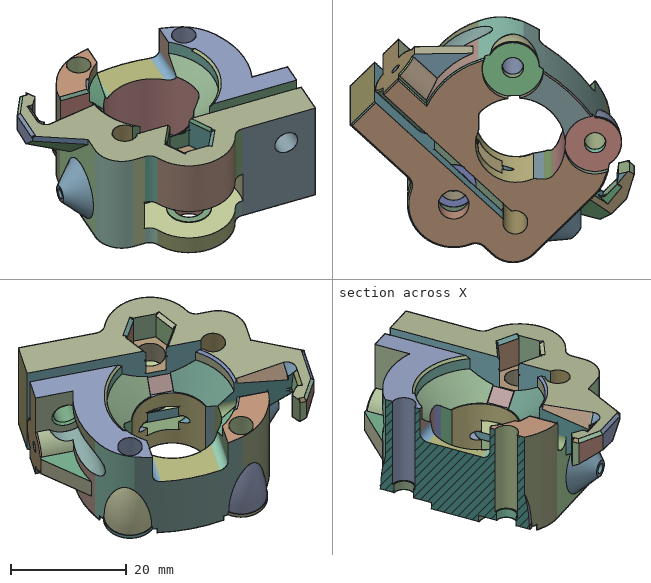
import cadquery as cq
import math


BODY_HEIGHT = 20.0
FRONT_Y = -16.4
BACK_Y = 23.0
RING_LEFT_X = -13.48
RING_BACK_Y = 17.1
RIGHT_X = 17.5
FRONT_CORNER_RADIUS = 5.05
BASE_CHAMFER = 0.25
OVERCUT = 1.0

LUG_X = 15.5
LUG_RADIUS = 8.0
LUG_BLEND_RADIUS = 2.0

SLOT_X = 10.4
SLOT_WIDTH = 2.04
SLOT_RELIEF_RADIUS = 2.15
CLAMP_BLOCK_X = 5.5
CLAMP_HOLE_Y = 17.5
CLAMP_HOLE_Z = 14.0
CLAMP_HOLE_RADIUS = 2.15
CLAMP_HOLE_CHAMFER = 0.4
SPOTFACE_RADIUS = 4.2
SPOTFACE_END_RADIUS = 3.35
SPOTFACE_END_X = -9.0

BORE_RADIUS = 8.6
BORE_X = 0.1
BORE_STEP_BLEND_RADIUS = 2.0
BORE_STEP_RADIUS = 7.0
BORE_STEP_START_X = 0.6
BORE_STEP_END_X = 2.45
CONE_X = 0.25
CONE_BOTTOM_Z = 13.05
RIM_RADIUS = 11.25
CONE_TOP_Z = 17.5
RIM_CHAMFER = 0.45
RIM_CHAMFER_HALF_WIDTH = 5.45
CONE_FLAT_HALF_WIDTH = 2.05

FILAMENT_X = 6.24
FILAMENT_Z = 6.5
FILAMENT_HOLE_RADIUS = 0.9
INLET_BASE_RADIUS = 5.5
INLET_TIP_RADIUS = 1.5
INLET_LENGTH = 3.9
OUTLET_RADIUS = 4.64
OUTLET_WIDENING = 0.6
OUTLET_END_Y = 10.05
OUTLET_END_FILLET = 2.75
OUTLET_RIM_CHAMFER = 0.25
GUSSET_HEIGHT = 3.75
GUSSET_BACK_X = 1.5
GUSSET_RUN = 7.5

BOLT_HOLE_RADIUS = 2.63
NUT_RADIUS = 4.15
NUT_FLAT_DISTANCE = 3.75
NUT_DEPTH = 6.0
NUT_OUTER_BEVEL = 0.7
NUT_SLOT_SIDE_BEVEL = 0.35
NUT_BEVEL_DEPTH = 0.6
POCKET_RADIUS = 9.5
POCKET_BOTTOM_Z = 3.6
POCKET_TOP_Z = 9.6
BEARING_SEAT_RADIUS = 3.9
BEARING_SEAT_HEIGHT = 0.15

SCREW_X = -9.41
SCREW_Y = 9.92
SCREW_POSITIONS = (-SCREW_Y, SCREW_Y)
SCREW_HOLE_RADIUS = 2.1
SCREW_TIP_RADIUS = 1.85
SCREW_TIP_LENGTH = 3.0
DOME_RADIUS = 4.59
DOME_BOTTOM_Z = 1.26
DOME_SHOULDER_Z = 2.0
DOME_SHOULDER_STEP = 0.1
DOME_ARC_RADIUS = 22.0
DOME_TOP_Z = 14.0
DOME_RECESS_RADIUS = 5.3

SIDE_SLOT_HALF_WIDTH = 6.73
SIDE_SLOT_FLOOR_Z = 13.55
SIDE_SLOT_FILLET = 1.5

CHANNEL_RADIUS = 1.6
CHANNEL_X = -0.85
CHANNEL_BOTTOM_Z = 13.36
CHANNEL_CHAMFER = 0.5

HOOK_FRONT_Y = -24.85
HOOK_INNER_X = CHANNEL_X + CHANNEL_RADIUS
HOOK_INNER_Y = -21.5
HOOK_TIP_X = -6.3
HOOK_SIDE_ROOT_X = 9.38
HOOK_SIDE_FRONT_X = 4.72
HOOK_SIDE_DEPTH = 1.13
HOOK_ROOT_Z = 11.25
HOOK_FRONT_Z = 16.05
HOOK_UNDERSIDE_TILT = 3.7
HOOK_TIP_BOTTOM_Z = 14.37
HOOK_RELIEF_Z = 15.0
HOOK_RELIEF_X = -3.2
HOOK_CORNER_RADIUS = 0.9
HOOK_CHAMFER = 0.55
HOOK_LIP_CHAMFER = 1.0
HOOK_LIP_DRAFT = 0.4
HOOK_LIP_DRAFT_DEPTH = 4.4
THROAT_BEVEL_START = (1.33, -11.7)
THROAT_BEVEL_END = (2.96, -20.6)
THROAT_CONE_RADIUS = 1.75


def plate(bottom_z, top_z):
    """Workplane at bottom_z together with the thickness up to top_z."""
    return cq.Workplane("XY").workplane(offset=bottom_z), top_z - bottom_z


def disc(x, y, radius, bottom_z, top_z):
    """Upright cylinder between two heights."""
    plane, height = plate(bottom_z, top_z)
    return plane.center(x, y).circle(radius).extrude(height)


def box(x0, x1, y0, y1, z0, z1):
    """Box between two corners."""
    return cq.Workplane("XY").box(x1 - x0, y1 - y0, z1 - z0, centered=False).translate((x0, y0, z0))


def top_bevel(start, end, width, depth=None):
    """Cutter for a sloped edge on the top face, to the left of the line start-end.

    The slope starts `width` inside that line and drops `depth` on it.
    """
    depth = depth or width
    dx = end[0] - start[0]
    dy = end[1] - start[1]
    plane = cq.Plane(
        origin=(start[0], start[1], BODY_HEIGHT), xDir=(-dy, dx, 0), normal=(dx, dy, 0)
    )
    profile = [(-width, 0), (0, -depth), (OVERCUT, -depth), (OVERCUT, OVERCUT), (-width, OVERCUT)]
    return cq.Workplane(plane).polyline(profile).close().extrude(math.hypot(dx, dy))


def body():
    """Ring, lug and clamp block in one outline, chamfered at the base."""
    blend_dx = RIGHT_X + LUG_BLEND_RADIUS - LUG_X
    blend_reach = LUG_RADIUS + LUG_BLEND_RADIUS
    blend_y = math.sqrt(blend_reach ** 2 - blend_dx ** 2)
    tangent_x = LUG_X + blend_dx * LUG_RADIUS / blend_reach
    tangent_y = blend_y * LUG_RADIUS / blend_reach
    left_end = (-11.93, 9.67)
    left_mid = (-9.65, 13.3)
    shoulder = (-6.6, 15.4)
    front_start_x = -2.56
    front_mid = (-4.7, -16.15)
    ring_end_y = 16.3
    corner_x = RIGHT_X - FRONT_CORNER_RADIUS
    corner_y = FRONT_Y + FRONT_CORNER_RADIUS
    diagonal = FRONT_CORNER_RADIUS * math.sqrt(0.5)
    outline = (
        cq.Workplane("XY")
        .moveTo(front_start_x, FRONT_Y)
        .lineTo(corner_x, FRONT_Y)
        .threePointArc((corner_x + diagonal, corner_y - diagonal), (RIGHT_X, corner_y))
        .lineTo(RIGHT_X, -blend_y)
        .radiusArc((tangent_x, -tangent_y), LUG_BLEND_RADIUS)
        .threePointArc((LUG_X + LUG_RADIUS, 0), (tangent_x, tangent_y))
        .radiusArc((RIGHT_X, blend_y), LUG_BLEND_RADIUS)
        .lineTo(RIGHT_X, BACK_Y)
        .lineTo(CLAMP_BLOCK_X, BACK_Y)
        .lineTo(CLAMP_BLOCK_X, ring_end_y)
        .threePointArc((0, RING_BACK_Y), shoulder)
        .threePointArc(left_mid, left_end)
        .threePointArc((RING_LEFT_X, 0), (left_end[0], -left_end[1]))
        .threePointArc((left_mid[0], -left_mid[1]), (shoulder[0], -shoulder[1]))
        .threePointArc(front_mid, (front_start_x, FRONT_Y))
        .close()
    )
    return outline.extrude(BODY_HEIGHT).faces("<Z").chamfer(BASE_CHAMFER)


def gusset():
    """Triangular web between the ring and the outlet boss."""
    plane, height = plate(FILAMENT_Z - GUSSET_HEIGHT / 2, FILAMENT_Z + GUSSET_HEIGHT / 2)
    outline = [
        (GUSSET_BACK_X, BACK_Y),
        (CLAMP_BLOCK_X, BACK_Y),
        (CLAMP_BLOCK_X, BACK_Y - GUSSET_RUN),
        (GUSSET_BACK_X - GUSSET_RUN, BACK_Y - GUSSET_RUN),
    ]
    return plane.polyline(outline).close().extrude(height)


def outlet_boss():
    """Boss around the filament outlet; it bridges the clamp slot and ends in a rounded nose."""
    plane = cq.Plane(
        origin=(FILAMENT_X + OUTLET_WIDENING / 2, BACK_Y, FILAMENT_Z), xDir=(1, 0, 0), normal=(0, -1, 0)
    )
    boss = cq.Workplane(plane).slot2D(2 * OUTLET_RADIUS + OUTLET_WIDENING, 2 * OUTLET_RADIUS)
    boss = boss.extrude(BACK_Y - OUTLET_END_Y)
    boss = boss.faces("<Y").edges().fillet(OUTLET_END_FILLET)
    return boss.faces(">Y").edges().chamfer(OUTLET_RIM_CHAMFER)


def inlet_cone():
    """Conical filament inlet on the front face."""
    profile = [(0, OVERCUT), (INLET_BASE_RADIUS, OVERCUT), (INLET_BASE_RADIUS, 0),
               (INLET_TIP_RADIUS, -INLET_LENGTH), (0, -INLET_LENGTH)]
    cone = cq.Workplane("XY").polyline(profile).close().revolve(360, (0, 0), (0, 1))
    return cone.translate((FILAMENT_X, FRONT_Y, FILAMENT_Z))


def dome(y):
    """Tapered dome over a screw hole."""
    shoulder_radius = DOME_RADIUS - DOME_SHOULDER_STEP
    rise = DOME_TOP_Z - DOME_SHOULDER_Z
    top_radius = shoulder_radius - DOME_ARC_RADIUS + math.sqrt(DOME_ARC_RADIUS ** 2 - rise ** 2)
    solid = (
        cq.Workplane("XZ")
        .moveTo(0, DOME_BOTTOM_Z)
        .lineTo(DOME_RADIUS, DOME_BOTTOM_Z)
        .lineTo(DOME_RADIUS, DOME_SHOULDER_Z)
        .lineTo(shoulder_radius, DOME_SHOULDER_Z)
        .radiusArc((top_radius, DOME_TOP_Z), -DOME_ARC_RADIUS)
        .lineTo(0, DOME_TOP_Z)
        .close()
        .revolve(360, (0, 0), (0, 1))
    )
    return solid.translate((SCREW_X, y, 0))


def gear_bore():
    """Stepped through bore opening into a cone and a chamfered rim."""
    start_y = math.sqrt(BORE_RADIUS ** 2 - (BORE_STEP_START_X - BORE_X) ** 2)
    end_y = math.sqrt(BORE_STEP_RADIUS ** 2 - BORE_STEP_END_X ** 2)
    bore = (
        cq.Workplane("XY")
        .moveTo(BORE_STEP_START_X, start_y)
        .threePointArc((BORE_X - BORE_RADIUS, 0), (BORE_STEP_START_X, -start_y))
        .lineTo(BORE_STEP_END_X, -end_y)
        .threePointArc((BORE_STEP_RADIUS, 0), (BORE_STEP_END_X, end_y))
        .close()
        .extrude(BODY_HEIGHT)
    )
    for corner_y in (-start_y, start_y):
        corner = cq.selectors.NearestToPointSelector((BORE_STEP_START_X, corner_y, BODY_HEIGHT / 2))
        bore = bore.edges("|Z").edges(corner).fillet(BORE_STEP_BLEND_RADIUS)
    cone_profile = [(0, CONE_BOTTOM_Z), (BORE_STEP_RADIUS, CONE_BOTTOM_Z), (RIM_RADIUS, CONE_TOP_Z),
                    (RIM_RADIUS, BODY_HEIGHT), (0, BODY_HEIGHT)]
    cone = cq.Workplane("XZ").polyline(cone_profile).close().revolve(360, (0, 0), (0, 1))
    rim_profile = [(0, BODY_HEIGHT - RIM_CHAMFER), (RIM_RADIUS, BODY_HEIGHT - RIM_CHAMFER),
                   (RIM_RADIUS + RIM_CHAMFER, BODY_HEIGHT), (0, BODY_HEIGHT)]
    rim = cq.Workplane("XZ").polyline(rim_profile).close().revolve(360, (0, 0), (0, 1))
    cone = cone.translate((CONE_X, 0, 0))
    rim = rim.translate((CONE_X, 0, 0))
    rim = rim.intersect(box(-RIM_CHAMFER_HALF_WIDTH, SLOT_X, -BODY_HEIGHT, BODY_HEIGHT, 0, BODY_HEIGHT))
    flat_profile = [(0, CONE_BOTTOM_Z), (BORE_STEP_RADIUS, CONE_BOTTOM_Z),
                    (RIM_RADIUS, CONE_TOP_Z), (0, CONE_TOP_Z)]
    flat = cq.Workplane("XZ").polyline(flat_profile).close().extrude(CONE_FLAT_HALF_WIDTH, both=True)
    flat = flat.translate((CONE_X, 0, 0))
    return bore.union(cone).union(rim).union(flat)


def clamp_slot():
    """Slot splitting the clamp block from the arm, ending in a relief hole."""
    half = SLOT_WIDTH / 2
    slot = box(SLOT_X - half, SLOT_X + half, -SCREW_Y, BACK_Y + OVERCUT, 0, BODY_HEIGHT)
    return slot.union(disc(SLOT_X, -SCREW_Y, SLOT_RELIEF_RADIUS, 0, BODY_HEIGHT))


def clamp_hole():
    """Clamp screw hole with its chamfer and the tapered spotface clearing its head."""
    axis = cq.Vector(1, 0, 0)
    face = cq.Vector(CLAMP_BLOCK_X, CLAMP_HOLE_Y, CLAMP_HOLE_Z)
    spotface_end = cq.Vector(SPOTFACE_END_X, CLAMP_HOLE_Y, CLAMP_HOLE_Z)
    spotface_length = CLAMP_BLOCK_X - SPOTFACE_END_X
    hole_length = RIGHT_X + OVERCUT - SPOTFACE_END_X
    lead_radius = CLAMP_HOLE_RADIUS + CLAMP_HOLE_CHAMFER
    hole = cq.Workplane(cq.Solid.makeCylinder(CLAMP_HOLE_RADIUS, hole_length, spotface_end, axis))
    spotface = cq.Workplane(
        cq.Solid.makeCone(SPOTFACE_END_RADIUS, SPOTFACE_RADIUS, spotface_length, spotface_end, axis)
    )
    lead = cq.Workplane(
        cq.Solid.makeCone(lead_radius, CLAMP_HOLE_RADIUS, CLAMP_HOLE_CHAMFER, face, axis)
    )
    return hole.union(spotface).union(lead)


def nut_pocket():
    """Hexagonal pocket, open towards the clamp slot, with bevelled slanted sides."""
    plane, height = plate(BODY_HEIGHT - NUT_DEPTH, BODY_HEIGHT)
    slope = math.tan(math.radians(30))
    right_x = LUG_X + NUT_FLAT_DISTANCE
    right_y = NUT_RADIUS - slope * NUT_FLAT_DISTANCE
    open_x = SLOT_X
    open_y = NUT_RADIUS - slope * (LUG_X - open_x)
    apex = (LUG_X, NUT_RADIUS)
    opposite_apex = (LUG_X, -NUT_RADIUS)
    corners = [(right_x, right_y), apex, (open_x, open_y),
               (open_x, -open_y), opposite_apex, (right_x, -right_y)]
    pocket = plane.polyline(corners).close().extrude(height)
    bevels = {0: NUT_OUTER_BEVEL, 1: NUT_SLOT_SIDE_BEVEL, 3: NUT_SLOT_SIDE_BEVEL,
              4: NUT_OUTER_BEVEL}
    for side, width in bevels.items():
        pocket = pocket.union(top_bevel(corners[side], corners[side + 1], width, NUT_BEVEL_DEPTH))
    return pocket


def bearing_pocket():
    """Side-opening pocket for the idler bearing, with a raised seat on each face."""
    pocket = disc(LUG_X, 0, POCKET_RADIUS, POCKET_BOTTOM_Z, POCKET_TOP_Z)
    for base in (POCKET_BOTTOM_Z, POCKET_TOP_Z - BEARING_SEAT_HEIGHT):
        pocket = pocket.cut(disc(LUG_X, 0, BEARING_SEAT_RADIUS, base, base + BEARING_SEAT_HEIGHT))
    return pocket


def side_slot():
    """Wide slot with rounded floor corners through the left wall."""
    slot = box(RING_LEFT_X - OVERCUT, 0, -SIDE_SLOT_HALF_WIDTH, SIDE_SLOT_HALF_WIDTH,
               SIDE_SLOT_FLOOR_Z, BODY_HEIGHT)
    return slot.edges("|X and <Z").fillet(SIDE_SLOT_FILLET)


def front_channel():
    """Round-bottomed channel through the front wall, bevelled along its left edge."""
    center_z = CHANNEL_BOTTOM_Z + CHANNEL_RADIUS
    left_x = CHANNEL_X - CHANNEL_RADIUS
    start = cq.Vector(CHANNEL_X, FRONT_Y, center_z)
    floor = cq.Solid.makeCylinder(CHANNEL_RADIUS, -FRONT_Y, start, cq.Vector(0, 1, 0))
    channel = box(left_x, HOOK_INNER_X, FRONT_Y, 0, center_z, BODY_HEIGHT).union(cq.Workplane(floor))
    bevel = top_bevel((left_x, 0), (left_x, FRONT_Y), CHANNEL_CHAMFER)
    return channel.union(bevel)


def hook():
    """Hook reaching out of the front face, with sloped undersides and bevelled top edges."""
    root_y = FRONT_Y + OVERCUT
    side_slope = (HOOK_SIDE_ROOT_X - HOOK_SIDE_FRONT_X) / (FRONT_Y - HOOK_FRONT_Y)
    tip_outer = (HOOK_TIP_X, -22.4)
    tip_inner = (HOOK_TIP_X, -21.2)
    tip_peak = (-4.7, -20.2)
    throat = (-2.9, HOOK_INNER_Y)
    front_left = (-1.9, HOOK_FRONT_Y)
    front_right = (HOOK_SIDE_FRONT_X, HOOK_FRONT_Y)
    side_root = (HOOK_SIDE_ROOT_X + side_slope * OVERCUT, root_y)
    inner_corner = (HOOK_INNER_X, HOOK_INNER_Y)
    outline = [side_root, front_right, front_left, tip_outer, tip_inner, tip_peak, throat,
               inner_corner, (HOOK_INNER_X, root_y)]
    solid = cq.Workplane("XY").polyline(outline).close().extrude(BODY_HEIGHT)
    corner_picker = cq.selectors.NearestToPointSelector((*inner_corner, BODY_HEIGHT / 2))
    solid = solid.edges("|Z").edges(corner_picker).fillet(HOOK_CORNER_RADIUS)

    reach = BODY_HEIGHT
    edge_z = BODY_HEIGHT - HOOK_SIDE_DEPTH
    lowest_x = HOOK_SIDE_FRONT_X - (edge_z - HOOK_FRONT_Z)
    upper_part = [(root_y, HOOK_ROOT_Z), (FRONT_Y, HOOK_ROOT_Z), (HOOK_FRONT_Y, HOOK_FRONT_Z),
                  (HOOK_FRONT_Y, BODY_HEIGHT + reach), (root_y, BODY_HEIGHT + reach)]
    keep = cq.Workplane("YZ").polyline(upper_part).close().extrude(reach, both=True)
    pivot = (lowest_x, 0, HOOK_FRONT_Z)
    keep = keep.rotate(pivot, (lowest_x, 1, HOOK_FRONT_Z), HOOK_UNDERSIDE_TILT)
    solid = solid.intersect(keep)
    solid = solid.cut(box(HOOK_TIP_X, HOOK_INNER_X, HOOK_FRONT_Y, root_y, 0, HOOK_TIP_BOTTOM_Z))
    solid = solid.cut(box(HOOK_RELIEF_X, HOOK_INNER_X, HOOK_FRONT_Y, root_y, 0, HOOK_RELIEF_Z))

    x0 = side_root[0]
    section = [(x0, edge_z), (x0 - edge_z, 0), (x0 + OVERCUT, 0), (x0 + OVERCUT, edge_z)]
    run = cq.Vector(front_right[0] - x0, HOOK_FRONT_Y - root_y, 0)
    face = cq.Workplane("XZ", origin=(0, root_y, 0)).polyline(section).close().val()
    lean = cq.Solid.extrudeLinear(face, [], run)
    solid = solid.cut(cq.Workplane(lean))

    for start, end in ((front_right, front_left), (front_left, tip_outer), (tip_outer, tip_inner)):
        solid = solid.cut(top_bevel(start, end, HOOK_CHAMFER))
    solid = solid.cut(top_bevel(throat, inner_corner, HOOK_LIP_CHAMFER))
    return solid.cut(top_bevel(throat, inner_corner, HOOK_LIP_DRAFT, HOOK_LIP_DRAFT_DEPTH))


def throat_bevel():
    """Widening bevel on the right wall of the channel, rounded where it meets the hook lip."""
    near = THROAT_BEVEL_START
    far = THROAT_BEVEL_END
    width = far[0] - HOOK_INNER_X
    dx = near[0] - far[0]
    dy = near[1] - far[1]
    plane = cq.Plane(origin=(*far, BODY_HEIGHT), xDir=(-dy, dx, 0), normal=(dx, dy, 0))
    profile = [(0, 0), (width, 0), (width, -width)]
    bevel = cq.Workplane(plane).polyline(profile).close().extrude(math.hypot(dx, dy))
    cone_x = far[0] - THROAT_CONE_RADIUS
    cone_y = HOOK_INNER_Y - HOOK_LIP_CHAMFER + THROAT_CONE_RADIUS
    corner = cq.Solid.makeCone(
        THROAT_CONE_RADIUS, 0, THROAT_CONE_RADIUS,
        cq.Vector(cone_x, cone_y, BODY_HEIGHT), cq.Vector(0, 0, -1),
    )
    return bevel.union(cq.Workplane(corner))


part = body().cut(clamp_slot())
part = part.union(gusset()).union(outlet_boss()).union(inlet_cone()).union(hook())

for screw_y in SCREW_POSITIONS:
    part = part.cut(disc(SCREW_X, screw_y, DOME_RECESS_RADIUS, 0, DOME_BOTTOM_Z))
    part = part.union(dome(screw_y))
for screw_y in SCREW_POSITIONS:
    part = part.cut(disc(SCREW_X, screw_y, SCREW_TIP_RADIUS, 0, BODY_HEIGHT))
    part = part.cut(disc(SCREW_X, screw_y, SCREW_HOLE_RADIUS, SCREW_TIP_LENGTH, BODY_HEIGHT))

part = part.cut(gear_bore()).cut(side_slot()).cut(front_channel()).cut(throat_bevel())
part = part.cut(clamp_hole()).cut(nut_pocket()).cut(bearing_pocket())
part = part.cut(disc(LUG_X, 0, BOLT_HOLE_RADIUS, 0, BODY_HEIGHT))

filament_start = cq.Vector(FILAMENT_X, FRONT_Y - INLET_LENGTH, FILAMENT_Z)
filament_length = BACK_Y - FRONT_Y + INLET_LENGTH
filament_hole = cq.Solid.makeCylinder(
    FILAMENT_HOLE_RADIUS, filament_length, filament_start, cq.Vector(0, 1, 0)
)
result = part.cut(cq.Workplane(filament_hole))